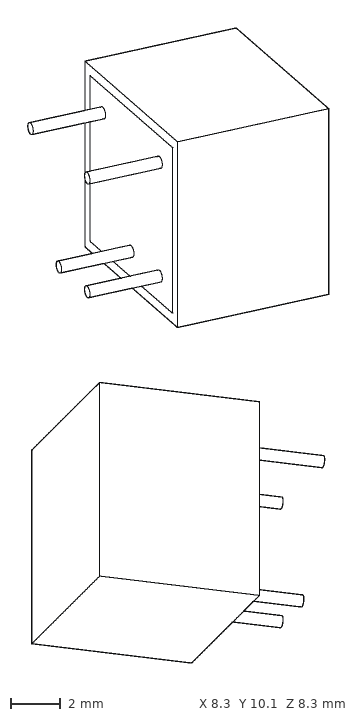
import cadquery as cq

housing_side = 8.3
housing_depth = 6.8
wall = 0.45
cavity_side = housing_side - 2 * wall
cavity_depth = housing_depth - wall

overall_depth = 10.05
pin_diameter = 0.5
pin_pitch = 2.54
pin_length = overall_depth - housing_depth
pin_positions = [
    (-pin_pitch, pin_pitch),
    (pin_pitch, pin_pitch),
    (0, -pin_pitch),
    (pin_pitch, -pin_pitch),
]


def square_block(side, depth):
    """Square block centred on the Y axis, running from the front face at Y = 0 towards +Y."""
    return cq.Workplane("XY").box(side, depth, side, centered=(True, False, True))


def make_housing():
    """Box with a square cavity open at the front and a closed back."""
    return square_block(housing_side, housing_depth).cut(square_block(cavity_side, cavity_depth))


def make_filling():
    """Block that fills the cavity flush with the rim."""
    return square_block(cavity_side, cavity_depth)


def make_pin(x, z):
    """Round lead running from the front face towards -Y."""
    return cq.Workplane("XZ").center(x, z).circle(pin_diameter / 2).extrude(pin_length)


housing = make_housing()
filling = make_filling()
pins = [make_pin(x, z) for x, z in pin_positions]

result = cq.Compound.makeCompound([housing.val(), filling.val(), *[pin.val() for pin in pins]])